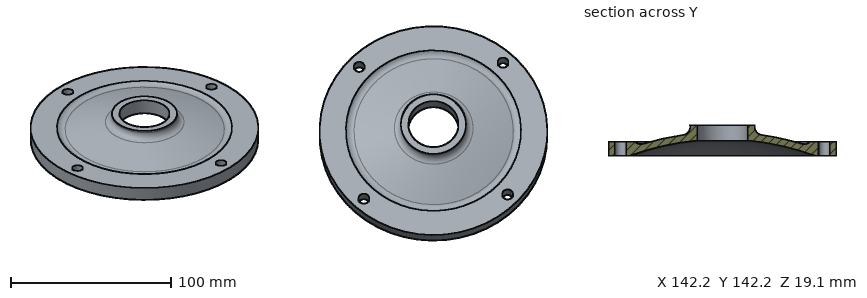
import cadquery as cq
import math

flange_diameter = 142.24
flange_thickness = 8.89
bolt_hole_diameter = 6.76
bolt_circle_diameter = 127.0
bolt_hole_count = 4

overall_height = 19.05
hub_diameter = 40.65
bore_diameter = 31.24

dome_radius = 172.0
dome_apex_height = 14.9
wall_thickness = 4.76

blend_radius = 4.9
groove_centre_radius = 51.1

dome_centre_height = dome_apex_height - dome_radius
hub_radius = hub_diameter / 2
bore_radius = bore_diameter / 2
flange_radius = flange_diameter / 2


def blend_centre(radius):
    """Centre (r, z) of a blend arc that rests on the dome at the given radius from the axis."""
    height = dome_centre_height + math.sqrt((dome_radius + blend_radius) ** 2 - radius**2)
    return radius, height


def sphere_point(sphere_radius, radius):
    """Point (r, z) on a sphere that shares the dome's centre."""
    return radius, dome_centre_height + math.sqrt(sphere_radius**2 - radius**2)


def dome_contact(centre):
    """Point (r, z) where a blend arc touches the dome."""
    return sphere_point(dome_radius, centre[0] * dome_radius / (dome_radius + blend_radius))


def blend_midpoint(centre, start, end):
    """Point (r, z) halfway along a blend arc."""
    chord_r = (start[0] + end[0]) / 2 - centre[0]
    chord_z = (start[1] + end[1]) / 2 - centre[1]
    stretch = blend_radius / math.hypot(chord_r, chord_z)
    return centre[0] + chord_r * stretch, centre[1] + chord_z * stretch


def make_body():
    """Revolved cover: bored hub, dished web of even thickness, groove and flange."""
    hub_blend = blend_centre(hub_radius + blend_radius)
    hub_blend_top = (hub_radius, hub_blend[1])
    dome_top = dome_contact(hub_blend)

    groove = blend_centre(groove_centre_radius)
    dome_foot = dome_contact(groove)
    rise_to_centre = groove[1] - flange_thickness
    groove_rim = (groove[0] + math.sqrt(blend_radius**2 - rise_to_centre**2), flange_thickness)
    dome_middle = sphere_point(dome_radius, (dome_top[0] + dome_foot[0]) / 2)

    inner_radius = dome_radius - wall_thickness
    hollow_top = sphere_point(inner_radius, bore_radius)
    hollow_rim = (math.sqrt(inner_radius**2 - dome_centre_height**2), 0)
    hollow_middle = sphere_point(inner_radius, (hollow_top[0] + hollow_rim[0]) / 2)

    profile = (
        cq.Workplane("XZ")
        .moveTo(bore_radius, overall_height)
        .lineTo(hub_radius, overall_height)
        .lineTo(*hub_blend_top)
        .threePointArc(blend_midpoint(hub_blend, hub_blend_top, dome_top), dome_top)
        .threePointArc(dome_middle, dome_foot)
        .threePointArc(blend_midpoint(groove, dome_foot, groove_rim), groove_rim)
        .lineTo(flange_radius, flange_thickness)
        .lineTo(flange_radius, 0)
        .lineTo(*hollow_rim)
        .threePointArc(hollow_middle, hollow_top)
        .close()
    )
    return profile.revolve(360, (0, 0, 0), (0, 1, 0))


def make_bolt_holes():
    """Pins for the bolt holes, evenly spaced on the bolt circle and on the X and Y axes."""
    return (
        cq.Workplane("XY")
        .polarArray(bolt_circle_diameter / 2, 0, 360, bolt_hole_count)
        .circle(bolt_hole_diameter / 2)
        .extrude(flange_thickness)
    )


result = make_body().cut(make_bolt_holes())